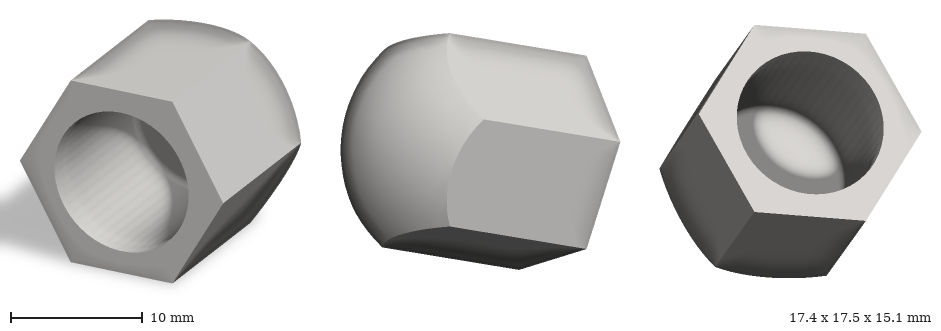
import cadquery as cq
import math

length = 17.46
across_flats = 15.09
across_corners = across_flats / math.cos(math.pi / 6)
dome_radius = 10.55

bore_diameter = 11.49
bore_depth = 13.1
bore_floor_fillet = 0.49


def along_y(sketch_diameter, depth, sides=None):
    """Prism or cylinder about the Y axis, running from Y = 0 to the given depth."""
    plane = cq.Workplane("XZ")
    if sides:
        outline = plane.polygon(sides, sketch_diameter)
    else:
        outline = plane.circle(sketch_diameter / 2)
    return outline.extrude(-depth)


def domed_envelope():
    """Cylinder clear of the hexagon, closed at its +Y end by the spherical dome."""
    envelope_radius = (across_corners / 2 + dome_radius) / 2
    dome_drop = dome_radius - math.sqrt(dome_radius**2 - envelope_radius**2)
    arc_middle_radius = envelope_radius / 2
    arc_middle_drop = dome_radius - math.sqrt(dome_radius**2 - arc_middle_radius**2)
    return (
        cq.Workplane("XY")
        .lineTo(envelope_radius, 0)
        .lineTo(envelope_radius, length - dome_drop)
        .threePointArc((arc_middle_radius, length - arc_middle_drop), (0, length))
        .close()
        .revolve(360, (0, 0), (0, 1))
    )


body = along_y(across_corners, length, sides=6).intersect(domed_envelope())

bore = along_y(bore_diameter, bore_depth).faces(">Y").edges().fillet(bore_floor_fillet)

result = body.cut(bore)